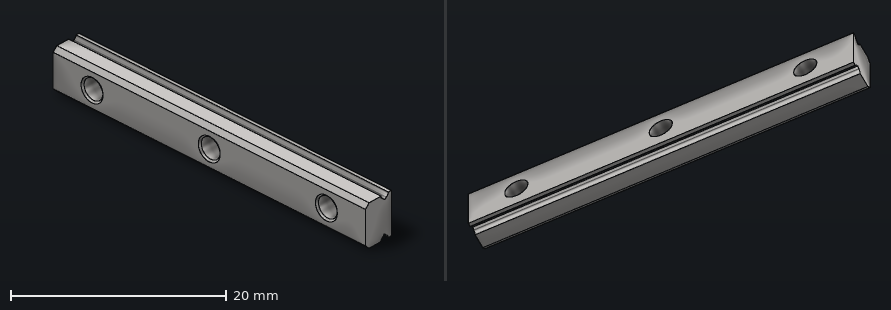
import cadquery as cq
import math

length = 40.0
depth = 3.5
height = 5.0
front_chamfer = 0.5

groove_radius = 0.5
groove_from_back = 0.9
groove_axis_offset = 0.05
relief_half_width = 0.2

hole_diameter = 2.4
countersink_diameter = 2.8
hole_count = 3
hole_pitch = 15.0

half_height = height / 2
groove_y = depth - groove_from_back
groove_axis_z = half_height + groove_axis_offset


def make_body():
    """Rectangular bar with both long front edges chamfered."""
    bar = cq.Workplane("XY").box(length, depth, height).translate((0, depth / 2, 0))
    return bar.faces("<Y").edges("|X").chamfer(front_chamfer)


def make_top_groove():
    """Cutter for the top groove: a round channel with a V relief at its bottom."""
    channel = (
        cq.Workplane("YZ")
        .center(groove_y, groove_axis_z)
        .circle(groove_radius)
        .extrude(length / 2, both=True)
    )
    relief_top = groove_axis_z - math.sqrt(groove_radius**2 - relief_half_width**2)
    relief = (
        cq.Workplane("YZ")
        .moveTo(groove_y - relief_half_width, groove_axis_z)
        .lineTo(groove_y - relief_half_width, relief_top)
        .lineTo(groove_y, relief_top - relief_half_width)
        .lineTo(groove_y + relief_half_width, relief_top)
        .lineTo(groove_y + relief_half_width, groove_axis_z)
        .close()
        .extrude(length / 2, both=True)
    )
    return channel.union(relief)


def make_hole(x):
    """Cutter for one through hole with a 45 degree countersink at the front."""
    countersink_depth = (countersink_diameter - hole_diameter) / 2
    return (
        cq.Workplane("XY")
        .lineTo(countersink_diameter / 2, 0)
        .lineTo(hole_diameter / 2, countersink_depth)
        .lineTo(hole_diameter / 2, depth)
        .lineTo(0, depth)
        .close()
        .revolve(360, (0, 0, 0), (0, 1, 0))
        .translate((x, 0, 0))
    )


result = make_body()

top_groove = make_top_groove()
result = result.cut(top_groove).cut(top_groove.mirror("XY"))

for index in range(hole_count):
    hole_x = (index - (hole_count - 1) / 2) * hole_pitch
    result = result.cut(make_hole(hole_x))